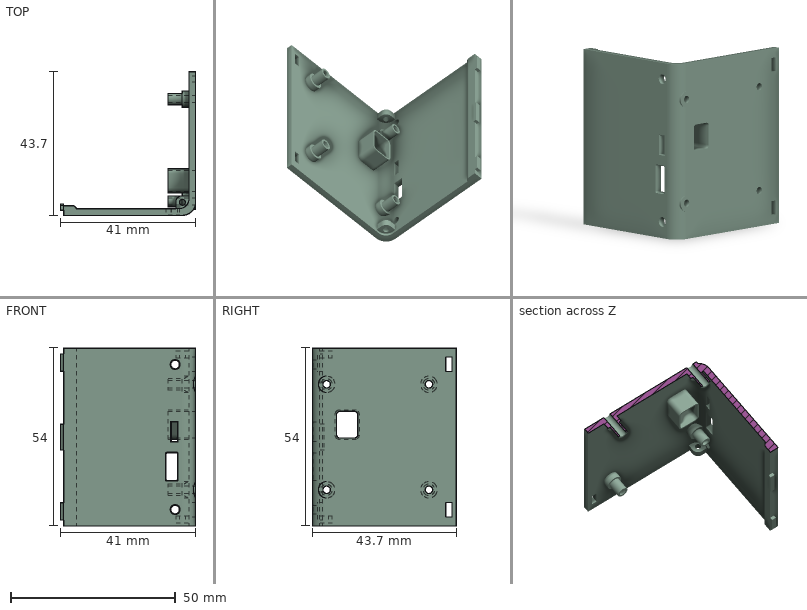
import cadquery as cq
import math

WIDTH = 40.0
DEPTH = 43.69
HEIGHT = 54.0
FRONT_THICKNESS = 2.1
BACK_THICKNESS = 2.0
OUTER_RADIUS = 4.05
INNER_RADIUS = 3.0
INNER_FACE_X = WIDTH - BACK_THICKNESS
MID_Z = HEIGHT / 2

LIP_LENGTH = 3.9
LIP_THICKNESS = 3.03
LIP_ROUND = 1.4

TAB_LENGTH = 1.0
END_TAB_HEIGHT = 5.3
END_TAB_INSET = 1.8
END_TAB_Y = (1.6, LIP_THICKNESS)
MID_TAB_HEIGHT = 7.9
MID_TAB_Y = (2.1, 3.55)

POST_Y = (4.3, 35.32)
POST_Z_OFFSET = 16.0
POST_DIAMETERS = (3.4, 3.5)
POST_LENGTH = 6.4
TIP_X = INNER_FACE_X - POST_LENGTH
POST_BORE = 2.2
BASE_DIAMETER = 5.0
BASE_LENGTH = 2.1

TUBE_Y = 10.53
TUBE_Z = 30.75
TUBE_SIZE_Y = 7.4
TUBE_SIZE_Z = 9.0
TUBE_WALL = 0.5
TUBE_RADIUS = 1.5

LATCH_Y = 41.4
LATCH_WIDTH = 1.8
LATCH_HEIGHT = 4.3
LATCH_INSET = 2.8

LUG_RADIUS = 2.0
LUG_X = INNER_FACE_X - LUG_RADIUS
LUG_Y = 4.0
LUG_THICKNESS = 2.2
LUG_INSET = 0.9
LUG_BORE = 1.8

OPENING_CHAMFER = 0.2
SCREW_X = 33.8
SCREW_Z_OFFSET = 22.0
SCREW_DIAMETER = 2.6
SWITCH_X = 33.57
SWITCH_Z = 28.6
SWITCH_WIDTH = 1.85
SWITCH_HEIGHT = 5.8
PORT_X = 32.8
PORT_Z = 18.0
PORT_WIDTH = 3.4
PORT_HEIGHT = 8.4
PORT_RADIUS = 0.3


def box(x0, x1, y0, y1, z0, z1):
    return cq.Workplane("XY").box(x1 - x0, y1 - y0, z1 - z0, centered=False).translate((x0, y0, z0))


def cylinder_x(x0, x1, y, z, diameter):
    return cq.Workplane("YZ", origin=(x0, y, z)).circle(diameter / 2).extrude(x1 - x0)


def make_panel():
    lip_rise = LIP_THICKNESS - FRONT_THICKNESS
    lip_run = math.sqrt(LIP_ROUND**2 - (LIP_ROUND - lip_rise) ** 2)
    return (
        cq.Workplane("XY")
        .lineTo(WIDTH - OUTER_RADIUS, 0)
        .radiusArc((WIDTH, OUTER_RADIUS), -OUTER_RADIUS)
        .lineTo(WIDTH, DEPTH)
        .lineTo(INNER_FACE_X, DEPTH)
        .lineTo(INNER_FACE_X, FRONT_THICKNESS + INNER_RADIUS)
        .radiusArc((INNER_FACE_X - INNER_RADIUS, FRONT_THICKNESS), INNER_RADIUS)
        .lineTo(LIP_LENGTH, FRONT_THICKNESS)
        .radiusArc((LIP_LENGTH - lip_run, LIP_THICKNESS), -LIP_ROUND)
        .lineTo(0, LIP_THICKNESS)
        .close()
        .extrude(HEIGHT)
    )


def make_tabs():
    tabs = box(-TAB_LENGTH, 0, *MID_TAB_Y, MID_Z - MID_TAB_HEIGHT / 2, MID_Z + MID_TAB_HEIGHT / 2)
    for z in (END_TAB_INSET, HEIGHT - END_TAB_INSET - END_TAB_HEIGHT):
        tabs = tabs.union(box(-TAB_LENGTH, 0, *END_TAB_Y, z, z + END_TAB_HEIGHT))
    return tabs


def lug(z):
    sunk_x = INNER_FACE_X + BACK_THICKNESS / 2
    sunk_y = FRONT_THICKNESS / 2
    blank = (
        cq.Workplane("XY", origin=(0, 0, z))
        .moveTo(LUG_X - LUG_RADIUS, sunk_y)
        .lineTo(LUG_X - LUG_RADIUS, LUG_Y)
        .radiusArc((LUG_X, LUG_Y + LUG_RADIUS), LUG_RADIUS)
        .lineTo(sunk_x, LUG_Y + LUG_RADIUS)
        .lineTo(sunk_x, LUG_Y)
        .lineTo(LUG_X, sunk_y)
        .close()
        .extrude(LUG_THICKNESS)
    )
    bore = cq.Workplane("XY", origin=(LUG_X, LUG_Y, z)).circle(LUG_BORE / 2).extrude(LUG_THICKNESS)
    return blank.cut(bore)


def add_lugs(body):
    for z in (LUG_INSET, HEIGHT - LUG_INSET - LUG_THICKNESS):
        body = body.union(lug(z))
    return body


def rounded_bar_x(x0, x1, size_y, size_z, radius):
    bar = cq.Workplane("YZ", origin=(x0, TUBE_Y, TUBE_Z)).rect(size_y, size_z).extrude(x1 - x0)
    return bar.edges("|X").fillet(radius)


def add_standoffs(body):
    for y, diameter in zip(POST_Y, POST_DIAMETERS):
        for z in (MID_Z - POST_Z_OFFSET, MID_Z + POST_Z_OFFSET):
            body = body.union(cylinder_x(TIP_X, WIDTH, y, z, diameter))
            body = body.union(cylinder_x(INNER_FACE_X - BASE_LENGTH, WIDTH, y, z, BASE_DIAMETER))
            body = body.cut(cylinder_x(TIP_X, WIDTH, y, z, POST_BORE))
    return body


def add_window_tube(body):
    outer = rounded_bar_x(TIP_X, WIDTH, TUBE_SIZE_Y, TUBE_SIZE_Z, TUBE_RADIUS)
    inner = rounded_bar_x(
        TIP_X, WIDTH, TUBE_SIZE_Y - 2 * TUBE_WALL, TUBE_SIZE_Z - 2 * TUBE_WALL, TUBE_RADIUS - TUBE_WALL
    )
    return body.union(outer).cut(inner)


def cut_latch_slots(body):
    y0 = LATCH_Y - LATCH_WIDTH / 2
    for z in (LATCH_INSET, HEIGHT - LATCH_INSET - LATCH_HEIGHT):
        body = body.cut(box(INNER_FACE_X, WIDTH, y0, y0 + LATCH_WIDTH, z, z + LATCH_HEIGHT))
    return body


def on_front_face(x, z):
    return cq.Workplane("XZ", origin=(x, 0, z))


def rounded_rectangle(x, z, width, height, radius):
    return on_front_face(x, z).sketch().rect(width, height).vertices().fillet(radius).finalize()


def chamfered_hole(through, mouth):
    """Through hole plus a flare narrowing from the mouth outline on the outer face."""
    flare = mouth.extrude(-OPENING_CHAMFER, taper=45)
    return through.extrude(-FRONT_THICKNESS).union(flare)


def cut_front_openings(body):
    flare = 2 * OPENING_CHAMFER
    for z in (MID_Z - SCREW_Z_OFFSET, MID_Z + SCREW_Z_OFFSET):
        screw = on_front_face(SCREW_X, z).circle(SCREW_DIAMETER / 2)
        screw_mouth = on_front_face(SCREW_X, z).circle(SCREW_DIAMETER / 2 + OPENING_CHAMFER)
        body = body.cut(chamfered_hole(screw, screw_mouth))
    switch = on_front_face(SWITCH_X, SWITCH_Z).rect(SWITCH_WIDTH, SWITCH_HEIGHT)
    switch_mouth = on_front_face(SWITCH_X, SWITCH_Z).rect(SWITCH_WIDTH + flare, SWITCH_HEIGHT + flare)
    body = body.cut(chamfered_hole(switch, switch_mouth))
    port = rounded_rectangle(PORT_X, PORT_Z, PORT_WIDTH, PORT_HEIGHT, PORT_RADIUS)
    port_mouth = rounded_rectangle(
        PORT_X, PORT_Z, PORT_WIDTH + flare, PORT_HEIGHT + flare, PORT_RADIUS + OPENING_CHAMFER
    )
    return body.cut(chamfered_hole(port, port_mouth))


result = make_panel().union(make_tabs())
result = add_lugs(result)
result = add_standoffs(result)
result = add_window_tube(result)
result = cut_latch_slots(result)
result = cut_front_openings(result)